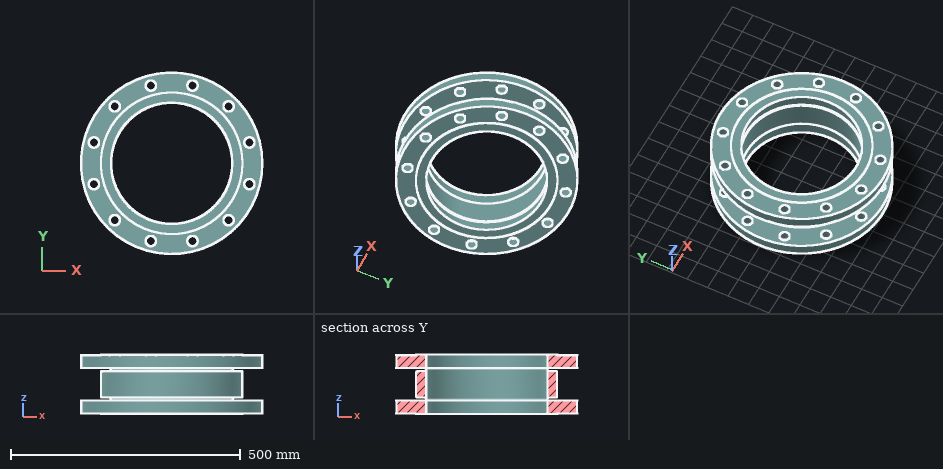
import cadquery as cq

flange_diameter = 395.0
length = 130.0

end_depth = 30.0
raised_face_height = 1.5
raised_face_diameter = 308.0

bolt_count = 12
bolt_circle_diameter = 350.0
bolt_hole_diameter = 22.0
first_bolt_angle = 180.0 / bolt_count

bore_diameter = 263.0
neck_wall = 1.5
neck_diameter = bore_diameter + 2 * neck_wall

bulge_diameter = 308.0
bulge_width = 58.0
bulge_edge_radius = 3.0
neck_fillet_radius = 3.0


def disc(diameter, bottom, top):
    """Solid disc on the Z axis between two heights."""
    return cq.Workplane("XY").workplane(offset=bottom).circle(diameter / 2).extrude(top - bottom)


def make_upper_flange():
    """Flange with its raised face at the +Z end."""
    end_face = length / 2
    flange_face = end_face - raised_face_height
    flange = disc(flange_diameter, end_face - end_depth, flange_face)
    return flange.union(disc(raised_face_diameter, flange_face, end_face))


def make_body():
    """Neck and bulge, with rounded bulge edges and filleted neck roots."""
    half_width = bulge_width / 2
    bulge_radius = bulge_diameter / 2
    neck_radius = neck_diameter / 2
    flange_back = length / 2 - end_depth
    root_radius = neck_radius + neck_fillet_radius
    root_height = half_width + neck_fillet_radius
    rim_radius = bulge_radius - bulge_edge_radius
    rim_height = half_width - bulge_edge_radius
    profile = (
        cq.Workplane("XZ")
        .moveTo(0, -flange_back)
        .lineTo(neck_radius, -flange_back)
        .lineTo(neck_radius, -root_height)
        .radiusArc((root_radius, -half_width), neck_fillet_radius)
        .lineTo(rim_radius, -half_width)
        .radiusArc((bulge_radius, -rim_height), -bulge_edge_radius)
        .lineTo(bulge_radius, rim_height)
        .radiusArc((rim_radius, half_width), -bulge_edge_radius)
        .lineTo(root_radius, half_width)
        .radiusArc((neck_radius, root_height), neck_fillet_radius)
        .lineTo(neck_radius, flange_back)
        .lineTo(0, flange_back)
        .close()
    )
    return profile.revolve(360, (0, 0, 0), (0, 1, 0))


def make_bolt_holes():
    """Cutters for the bolt holes through both flanges."""
    return (
        cq.Workplane("XY")
        .workplane(offset=-length / 2)
        .polarArray(bolt_circle_diameter / 2, first_bolt_angle, 360, bolt_count)
        .circle(bolt_hole_diameter / 2)
        .extrude(length)
    )


upper_flange = make_upper_flange()
lower_flange = upper_flange.mirror("XY")
bore = disc(bore_diameter, -length / 2, length / 2)

result = make_body().union(upper_flange).union(lower_flange).cut(bore).cut(make_bolt_holes())